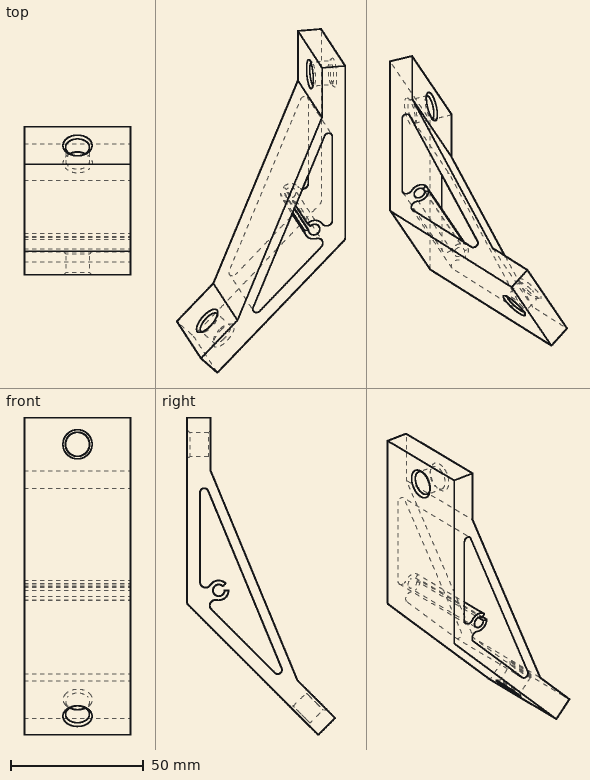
import math
import cadquery as cq

width = 40.0
plate_length = 70.0
lean_angle = 45.0
plate_thickness = 9.0
pad_length = 20.0
wall_thickness = 5.0
strap_thickness = 3.83
window_corner_radius = 1.55
elbow_radius = 1.5

bolt_diameter = 9.0
bolt_chamfer = 1.0
bolt_inset = 10.0

clip_inner_radius = 2.15
clip_outer_radius = 3.75
clip_distance = 13.0
clip_opening_angle = 45.0
clip_fillet_radius = 2.1

bisector_angle = (90.0 - lean_angle) / 2


def polar(radius, angle):
    """(Y, Z) offset of the given length and elevation."""
    radians = math.radians(angle)
    return (radius * math.cos(radians), radius * math.sin(radians))


def mirrored(point):
    """Reflect a (Y, Z) point across the bisecting plane."""
    y, z = point
    elevation = math.degrees(math.atan2(z, y))
    return polar(math.hypot(y, z), 2 * bisector_angle - elevation)


def across_width(center=(0, 0)):
    """YZ sketch plane on the -X side, for extruding through the full width."""
    return cq.Workplane("YZ", origin=(-width / 2, 0, 0)).center(*center)


def prism(points, center=(0, 0)):
    """Full-width prism with a straight-sided outline given relative to center."""
    return across_width(center).polyline(points).close().extrude(width)


def rod(radius, center):
    """Full-width cylinder along X."""
    return across_width(center).circle(radius).extrude(width)


elbow_corner = polar(wall_thickness / math.cos(math.radians(bisector_angle)), bisector_angle)
clip_center = polar(clip_distance, bisector_angle)
pad_corner = (plate_thickness, plate_length - pad_length)


def make_body():
    """Solid silhouette of both plates and the strap, with a rounded elbow."""
    outline = [(0, 0), (0, plate_length), (plate_thickness, plate_length), pad_corner]
    lower = [mirrored(point) for point in reversed(outline[1:])]
    body = prism(outline + lower)
    elbow_edge = cq.selectors.NearestToPointSelector((0, 0, 0))
    return body.edges(elbow_edge).fillet(elbow_radius)


def make_window():
    """Triangular opening between the two plates and the strap."""
    strap_slope = 1 / math.tan(math.radians(bisector_angle))
    strap_run = strap_thickness / math.cos(math.radians(bisector_angle))
    tip_offset = plate_thickness - strap_run - wall_thickness
    tip = (wall_thickness, pad_corner[1] + tip_offset * strap_slope)
    window = prism([elbow_corner, tip, mirrored(tip)])
    for y, z in (tip, mirrored(tip)):
        tip_edge = cq.selectors.NearestToPointSelector((0, y, z))
        window = window.edges(tip_edge).fillet(window_corner_radius)
    return window


def make_clip():
    """Snap-in ring on a web from the elbow, blended into both plate walls."""
    fillet_y = wall_thickness + clip_fillet_radius
    fillet_reach = clip_outer_radius + clip_fillet_radius
    fillet_rise = math.sqrt(fillet_reach**2 - (clip_center[0] - fillet_y) ** 2)
    fillet_center = (fillet_y, clip_center[1] + fillet_rise)
    wall_point = (wall_thickness, fillet_center[1])

    web_outline = [elbow_corner, wall_point, fillet_center, clip_center]
    web_outline += [mirrored(fillet_center), mirrored(wall_point)]
    web = prism(web_outline)
    for center in (fillet_center, mirrored(fillet_center)):
        web = web.cut(rod(clip_fillet_radius, center))

    ring = rod(clip_outer_radius, clip_center)
    bore = rod(clip_inner_radius, clip_center)
    mouth_reach = 2 * clip_outer_radius
    mouth_outline = [(0, 0)]
    for side in (-1, 1):
        mouth_outline.append(polar(mouth_reach, bisector_angle + side * clip_opening_angle / 2))
    mouth = prism(mouth_outline, clip_center)
    return web.union(ring).cut(bore).cut(mouth)


def make_bolt_hole():
    """Cutter for the upright plate: through hole chamfered at both faces."""
    radius = bolt_diameter / 2
    rim_radius = radius + bolt_chamfer
    profile = [(0, 0), (rim_radius, 0), (radius, bolt_chamfer)]
    profile += [(radius, plate_thickness - bolt_chamfer), (rim_radius, plate_thickness), (0, plate_thickness)]
    cutter = cq.Workplane("XY").polyline(profile).close().revolve(360, (0, 0, 0), (0, 1, 0))
    return cutter.translate((0, 0, plate_length - bolt_inset))


bolt_hole = make_bolt_hole()
lower_bolt_hole = bolt_hole.mirror("XY").rotate((0, 0, 0), (1, 0, 0), 2 * bisector_angle)

result = make_body().cut(make_window()).union(make_clip())
result = result.cut(bolt_hole).cut(lower_bolt_hole)